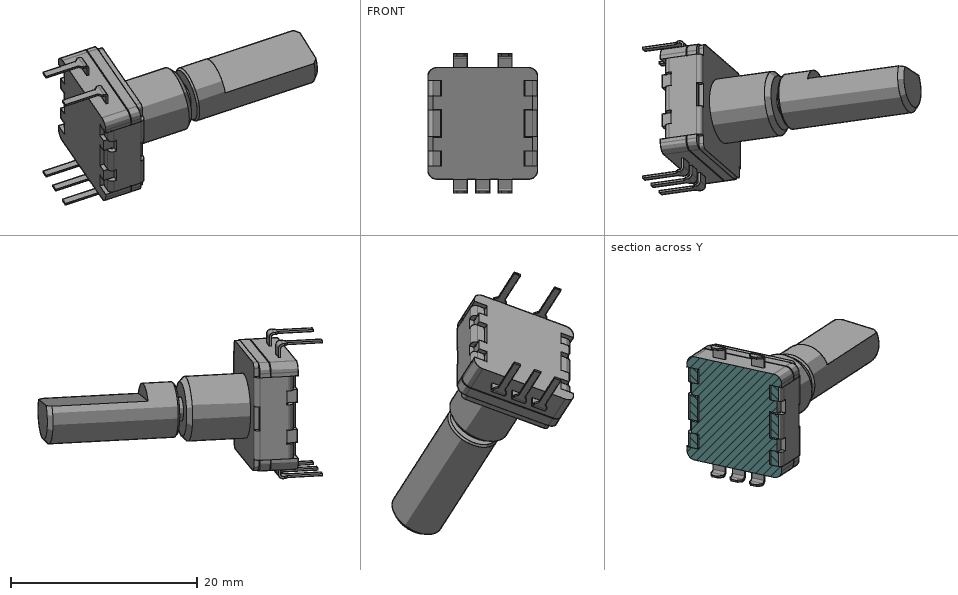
import cadquery as cq
import math


body_width = 11.8
body_height = 12.0
corner_radius = 1.0
base_top = 2.98
wafer_top = 3.07
flange_top = 4.18
sheet_thickness = 0.55
plate_top = flange_top + sheet_thickness

strap_half_height = 4.58
strap_inner_x = body_width / 2 - sheet_thickness
plate_half_width = 5.18
plate_corner_radius = sheet_thickness
bend_notch_half_height = 1.32
clip_recess = 0.45
clip_end_x = 4.5
clip_clearance = 0.1
clip_gap_outer_z = 2.95
middle_clip_half_height = 1.4
clip_gap_depth = 1.25

bushing_diameter = 6.98
bushing_top = 11.62
bushing_chamfer = 0.55

shaft_diameter = 6.0
neck_diameter = 2.6
shoulder_y = 12.35
shaft_end = 26.8
tip_chamfer = 0.5
shoulder_chamfer = 0.2
flat_start_y = 15.75
flat_distance = 1.5
flat_tilt = 5.0

terminal_span = 15.0
terminal_tip_y = -3.3
terminal_leg_y = 1.47
terminal_thickness = 0.25
terminal_bend_radius = 0.5
terminal_offset_x = 2.4
pad_width = 1.5
prong_width = 0.75
pad_end_y = 0.55


def y_plane(y):
    """Sketch plane at the given Y, facing +Y."""
    return cq.Workplane("XZ", origin=(0, y, 0)).transformed(rotate=(180, 0, 0))


def box(x_range, y_range, z_range):
    """Axis-aligned box between the given limits."""
    sizes = [high - low for low, high in (x_range, y_range, z_range)]
    corner = (x_range[0], y_range[0], z_range[0])
    return cq.Workplane("XY").box(*sizes, centered=False).translate(corner)


def both_sides(shape):
    """The shape together with its mirror image across the YZ plane."""
    return shape.union(shape.mirror("YZ"))


def body_layer(y_low, y_high):
    """Slab with rounded corners and a shallow recess on each side for the frame straps."""
    slab = (
        y_plane(y_low)
        .rect(body_width, body_height)
        .extrude(y_high - y_low)
        .edges("|Y")
        .fillet(corner_radius)
    )
    recess = box(
        (strap_inner_x, body_width / 2),
        (y_low, y_high),
        (-strap_half_height, strap_half_height),
    )
    return slab.cut(both_sides(recess))


def make_terminal(sign, x):
    """Bent terminal on the top (sign +1) or bottom (sign -1) of the base."""
    outer_z = terminal_span / 2
    inner_z = outer_z - terminal_thickness
    root_z = body_height / 2
    leg_high = terminal_leg_y + terminal_thickness / 2
    leg_low = terminal_leg_y - terminal_thickness / 2
    inner_radius = terminal_bend_radius - terminal_thickness
    bend_y = leg_high - terminal_bend_radius
    bend_z = outer_z - terminal_bend_radius
    diagonal = math.sqrt(0.5)
    strip = (
        cq.Workplane("YZ", origin=(-pad_width / 2, 0, 0))
        .moveTo(leg_high, root_z)
        .lineTo(leg_high, bend_z)
        .threePointArc(
            (bend_y + terminal_bend_radius * diagonal, bend_z + terminal_bend_radius * diagonal),
            (bend_y, outer_z),
        )
        .lineTo(terminal_tip_y, outer_z)
        .lineTo(terminal_tip_y, inner_z)
        .lineTo(bend_y, inner_z)
        .threePointArc(
            (bend_y + inner_radius * diagonal, bend_z + inner_radius * diagonal),
            (leg_low, bend_z),
        )
        .lineTo(leg_low, root_z)
        .close()
        .extrude(pad_width)
    )
    half_pad = pad_width / 2
    half_prong = prong_width / 2
    pad_corner_y = pad_end_y + half_pad - half_prong
    outline = (
        cq.Workplane("XY", origin=(0, 0, root_z))
        .polyline(
            [
                (half_pad, leg_high),
                (half_pad, pad_corner_y),
                (half_prong, pad_end_y),
                (half_prong, terminal_tip_y),
                (-half_prong, terminal_tip_y),
                (-half_prong, pad_end_y),
                (-half_pad, pad_corner_y),
                (-half_pad, leg_high),
            ]
        )
        .close()
        .extrude(outer_z - root_z)
    )
    strip = strip.intersect(outline)
    if sign < 0:
        strip = strip.mirror("XY")
    return strip.translate((x, 0, 0))


def make_base():
    """Moulded base with clip pockets and its five terminals."""
    base = body_layer(0, base_top)
    pocket_depth = clip_recess + sheet_thickness
    pocket_x = (clip_end_x - clip_clearance, body_width / 2)
    middle = middle_clip_half_height + clip_clearance
    pockets = [
        (-strap_half_height, -clip_gap_outer_z),
        (-middle, middle),
        (clip_gap_outer_z, strap_half_height),
    ]
    for z_range in pockets:
        base = base.cut(both_sides(box(pocket_x, (0, pocket_depth), z_range)))
    for x in (-terminal_offset_x, terminal_offset_x):
        for sign in (1, -1):
            base = base.union(make_terminal(sign, x))
    return base.union(make_terminal(-1, 0))


def make_wafer():
    """Thin sheet between the base and the bushing flange."""
    return body_layer(base_top, wafer_top)


def make_bushing():
    """Chamfered bushing on its rectangular flange."""
    barrel = (
        y_plane(flange_top)
        .circle(bushing_diameter / 2)
        .extrude(bushing_top - flange_top)
        .faces(">Y")
        .chamfer(bushing_chamfer)
    )
    return body_layer(wafer_top, flange_top).union(barrel)


def make_frame():
    """Sheet-metal plate around the bushing, with a strap down each side folded under the base."""
    half_width = body_width / 2
    strap_z = (-strap_half_height, strap_half_height)
    plate = (
        y_plane(flange_top)
        .rect(2 * plate_half_width, body_height)
        .extrude(sheet_thickness)
        .edges("|Y")
        .fillet(plate_corner_radius)
    )
    strap = box((clip_end_x, half_width), (clip_recess, plate_top), strap_z)
    strap = strap.edges("|Z and >X").fillet(sheet_thickness)
    inside = box(
        (clip_end_x, strap_inner_x),
        (clip_recess + sheet_thickness, flange_top),
        strap_z,
    )
    bend_notch = box(
        (plate_half_width, half_width),
        (flange_top, plate_top),
        (-bend_notch_half_height, bend_notch_half_height),
    )
    strap = strap.cut(inside).cut(bend_notch)
    clip_gaps = [
        (middle_clip_half_height, clip_gap_outer_z),
        (-clip_gap_outer_z, -middle_clip_half_height),
    ]
    for z_range in clip_gaps:
        strap = strap.cut(box((clip_end_x, half_width), (clip_recess, clip_gap_depth), z_range))
    hole = y_plane(flange_top).circle(bushing_diameter / 2).extrude(sheet_thickness)
    return plate.union(both_sides(strap)).cut(hole)


def make_shaft():
    """Shaft with a flat along its end and a thin neck that meets the bushing."""
    shaft = (
        y_plane(shoulder_y)
        .circle(shaft_diameter / 2)
        .extrude(shaft_end - shoulder_y)
        .faces(">Y")
        .chamfer(tip_chamfer)
        .faces("<Y")
        .chamfer(shoulder_chamfer)
    )
    radius = shaft_diameter / 2
    flat = box((-radius, radius), (flat_start_y, shaft_end), (flat_distance, radius))
    shaft = shaft.cut(flat.rotate((0, 0, 0), (0, 1, 0), flat_tilt))
    neck = y_plane(bushing_top).circle(neck_diameter / 2).extrude(shoulder_y - bushing_top)
    return shaft.union(neck)


base = make_base()
wafer = make_wafer()
bushing = make_bushing()
frame = make_frame()
shaft = make_shaft()

result = cq.Compound.makeCompound(
    [body.solids().val() for body in (base, wafer, bushing, frame, shaft)]
)